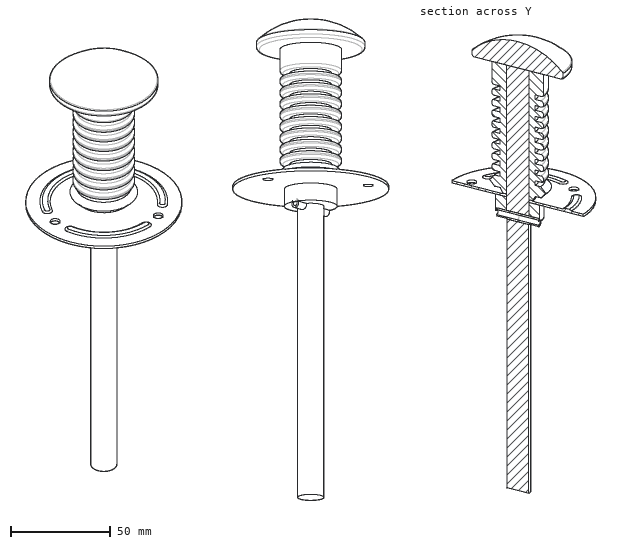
import cadquery as cq
import math

TOTAL_HEIGHT = 247.2
CAP_BOTTOM_Z = 232.3
PLATE_TOP_Z = 161.5

ROD_RADIUS = 6.7

CAP_RADIUS = 27.5
DOME_RADIUS = 27.0
DOME_HEIGHT = 10.6
RIM_FILLET = 1.5

BELLOWS_RADIUS = 15.5
BELLOWS_HEAD_HEIGHT = 12.4
RING_COUNT = 8
RING_STACK_HEIGHT = 49.5
GROOVE_WIDTH = 2.2
GROOVE_RADIUS = 10.6
RING_FILLET = 1.5
FOOT_RADIUS = 17.0
FOOT_SLOPE = 3.2
NECK_RADIUS = 9.0

PLATE_DIAMETER = 78.8
PLATE_THICKNESS = 1.5
HOLE_RADIUS = 2.5
HOLE_CIRCLE_RADIUS = 30.2
HOLE_ANGLE = -7.3
PATTERN_COUNT = 3
PATTERN_STEP = 360 / PATTERN_COUNT

RIB_CIRCLE_RADIUS = 29.7
RIB_WIDTH = 5.2
RIB_HEIGHT = 0.7
RIB_BEVEL_WIDTH = 1.2
RIB_HALF_ANGLE = 40.5

COLLAR_RADIUS = 13.3
COLLAR_HEIGHT = 9.0
PIN_RADIUS = 2.2
PIN_BORE_RADIUS = 1.2
PIN_LENGTH = 25.2
PIN_DROP = 0.7

PLATE_BOTTOM_Z = PLATE_TOP_Z - PLATE_THICKNESS
COLLAR_BOTTOM_Z = PLATE_BOTTOM_Z - COLLAR_HEIGHT
PIN_Z = COLLAR_BOTTOM_Z - PIN_DROP


def cylinder(radius, bottom_z, height):
    """Upright cylinder on the common axis."""
    return cq.Workplane("XY").workplane(offset=bottom_z).circle(radius).extrude(height)


def cross_cylinder(radius):
    """Cylinder along X on the axis of the cross pin."""
    return cq.Workplane("YZ", origin=(0, 0, PIN_Z)).circle(radius).extrude(PIN_LENGTH / 2, both=True)


def polar_point(radius, angle):
    """Point at a radius and an angle in degrees around the common axis."""
    return radius * math.cos(math.radians(angle)), radius * math.sin(math.radians(angle))


def make_rod_core():
    """Full cylinder of the push rod, from its lower end up to the cap."""
    return cylinder(ROD_RADIUS, 0, CAP_BOTTOM_Z)


def make_cap():
    """Spherical dome on a flat rim with a rounded lower edge."""
    dome_edge_z = TOTAL_HEIGHT - DOME_HEIGHT
    sphere_radius = (DOME_RADIUS**2 + DOME_HEIGHT**2) / (2 * DOME_HEIGHT)
    arc_mid_radius = DOME_RADIUS / 2
    arc_mid_z = TOTAL_HEIGHT - sphere_radius + math.sqrt(sphere_radius**2 - arc_mid_radius**2)
    rim_step = CAP_RADIUS - DOME_RADIUS
    profile = (
        cq.Workplane("XZ")
        .moveTo(0, CAP_BOTTOM_Z)
        .lineTo(CAP_RADIUS, CAP_BOTTOM_Z)
        .lineTo(CAP_RADIUS, dome_edge_z - rim_step)
        .lineTo(DOME_RADIUS, dome_edge_z)
        .threePointArc((arc_mid_radius, arc_mid_z), (0, TOTAL_HEIGHT))
        .close()
    )
    cap = profile.revolve(360, (0, 0), (0, 1))
    return cap.faces("<Z").edges().fillet(RIM_FILLET)


def make_bellows():
    """Rubber sleeve: plain head, a stack of round-edged rings, a sharp foot ring and a short neck."""
    head_bottom_z = CAP_BOTTOM_Z - BELLOWS_HEAD_HEIGHT
    ring_pitch = (RING_STACK_HEIGHT - GROOVE_WIDTH) / RING_COUNT
    ring_height = ring_pitch - GROOVE_WIDTH
    foot_top_z = head_bottom_z - RING_STACK_HEIGHT
    foot_bottom_z = foot_top_z - 2 * FOOT_SLOPE
    foot_flat_radius = FOOT_RADIUS - FOOT_SLOPE

    bellows = cylinder(GROOVE_RADIUS, foot_top_z, CAP_BOTTOM_Z - foot_top_z)
    head = cylinder(BELLOWS_RADIUS, head_bottom_z, BELLOWS_HEAD_HEIGHT)
    bellows = bellows.union(head.faces("<Z").edges().fillet(RING_FILLET))
    for ring in range(RING_COUNT):
        ring_bottom_z = head_bottom_z - (ring + 1) * ring_pitch
        ring_body = cylinder(BELLOWS_RADIUS, ring_bottom_z, ring_height)
        bellows = bellows.union(ring_body.edges("%CIRCLE").fillet(RING_FILLET))

    foot = (
        cq.Workplane("XZ")
        .moveTo(0, foot_top_z)
        .lineTo(foot_flat_radius, foot_top_z)
        .lineTo(FOOT_RADIUS, foot_top_z - FOOT_SLOPE)
        .lineTo(foot_flat_radius, foot_bottom_z)
        .lineTo(GROOVE_RADIUS, foot_bottom_z)
        .lineTo(NECK_RADIUS, PLATE_TOP_Z)
        .lineTo(0, PLATE_TOP_Z)
        .close()
        .revolve(360, (0, 0), (0, 1))
    )
    return bellows.union(foot).cut(make_rod_core())


def make_rib(mid_angle):
    """Raised arc-shaped rib with round ends and bevelled sides."""
    base_half_width = RIB_WIDTH / 2
    top_half_width = base_half_width - RIB_BEVEL_WIDTH
    rib_top_z = PLATE_TOP_Z + RIB_HEIGHT
    start_angle = mid_angle - RIB_HALF_ANGLE
    rib = (
        cq.Workplane("XZ")
        .moveTo(RIB_CIRCLE_RADIUS - base_half_width, PLATE_TOP_Z)
        .lineTo(RIB_CIRCLE_RADIUS + base_half_width, PLATE_TOP_Z)
        .lineTo(RIB_CIRCLE_RADIUS + top_half_width, rib_top_z)
        .lineTo(RIB_CIRCLE_RADIUS - top_half_width, rib_top_z)
        .close()
        .revolve(2 * RIB_HALF_ANGLE, (0, 0), (0, 1))
        .rotate((0, 0, 0), (0, 0, 1), start_angle)
    )
    for end_angle in (start_angle, mid_angle + RIB_HALF_ANGLE):
        end_x, end_y = polar_point(RIB_CIRCLE_RADIUS, end_angle)
        round_end = cq.Solid.makeCone(
            base_half_width, top_half_width, RIB_HEIGHT, cq.Vector(end_x, end_y, PLATE_TOP_Z)
        )
        rib = rib.union(cq.Workplane(round_end))
    return rib


def make_plate():
    """Round mounting plate with three screw holes and three raised ribs."""
    plate = cylinder(PLATE_DIAMETER / 2, PLATE_BOTTOM_Z, PLATE_THICKNESS)
    for index in range(PATTERN_COUNT):
        hole_angle = HOLE_ANGLE + index * PATTERN_STEP
        hole = cylinder(HOLE_RADIUS, PLATE_BOTTOM_Z, PLATE_THICKNESS)
        plate = plate.cut(hole.translate((*polar_point(HOLE_CIRCLE_RADIUS, hole_angle), 0)))
        plate = plate.union(make_rib(hole_angle + PATTERN_STEP / 2))
    return plate.cut(make_rod_core())


def make_collar():
    """Plain collar around the rod, notched underneath for the cross pin."""
    collar = cylinder(COLLAR_RADIUS, COLLAR_BOTTOM_Z, COLLAR_HEIGHT)
    return collar.cut(make_rod_core()).cut(cross_cylinder(PIN_RADIUS))


def make_rod():
    """Push rod with a cross hole for the pin."""
    return make_rod_core().cut(cross_cylinder(PIN_RADIUS))


def make_cross_pin():
    """Hollow pin through the rod, half sunk in the underside of the collar."""
    return cross_cylinder(PIN_RADIUS).cut(cross_cylinder(PIN_BORE_RADIUS))


cap = make_cap()
bellows = make_bellows()
plate = make_plate()
collar = make_collar()
rod = make_rod()
cross_pin = make_cross_pin()

result = cq.Compound.makeCompound(
    [cap.val(), bellows.val(), plate.val(), collar.val(), rod.val(), cross_pin.val()]
)